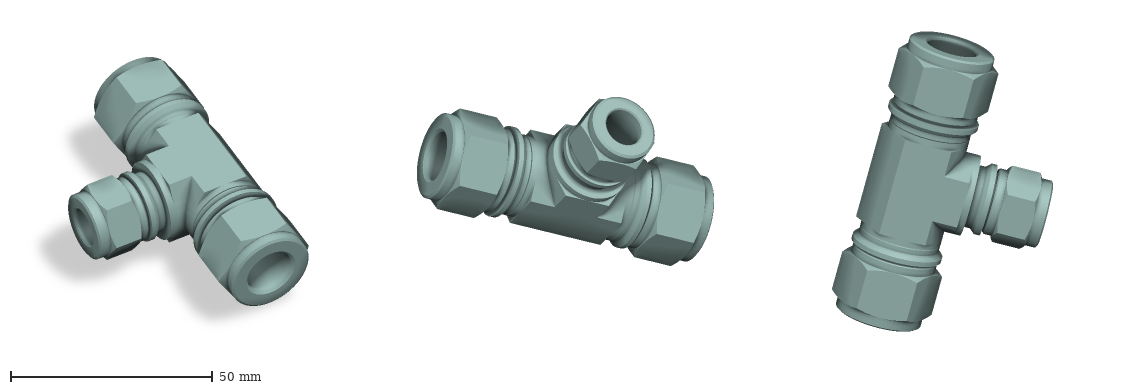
import cadquery as cq
import math


body_flats = 20.6
run_prism_end = 12.5
branch_prism_end = 12.35
disc_end = 14.15

run_nut_flats = 22.25
branch_nut_flats = 17.7
hex_chamfer_angle = 30

overall_length = 72.2
overall_width = 46.2
run_end = overall_length / 2
branch_end = overall_width - run_nut_flats / 2 / math.cos(math.pi / 6)

rim_bevel_radial = 0.65
rim_bevel_axial = 0.4
seat_bevel = 0.3

run_bore_diameter = 12.5
run_bore_depth = 21.65
run_mouth_bevel = 0.65
branch_bore_diameter = 9.75
branch_bore_depth = 14.45
branch_mouth_bevel = 0.35
branch_pilot_diameter = 7.15
branch_pilot_depth = 21.65


def hexagon(flats, length):
    """Hexagonal bar along +Z with corners on the X axis."""
    return cq.Workplane("XY").polygon(6, flats / math.cos(math.pi / 6)).extrude(length)


def body_prism(length, keep_back_corner):
    """Hexagonal bar whose -X corner, and +X corner unless kept, give way to the round body."""
    tangent_x = body_flats / 2 * math.cos(math.pi / 6)
    right = body_flats if keep_back_corner else tangent_x
    slab = cq.Workplane("XY").box(
        tangent_x + right, 2 * body_flats, length, centered=(False, True, False)
    ).translate((-tangent_x, 0, 0))
    return hexagon(body_flats, length).intersect(slab)


def turned(points):
    """Solid of revolution about Z from (radius, height) points, closed along the axis."""
    outline = [(0, points[0][1])] + points + [(0, points[-1][1])]
    return cq.Workplane("XZ").polyline(outline).close().revolve(360, (0, 0, 0), (0, 1, 0))


def nut_hex(flats, start, end):
    """Hex nut whose corners are turned off conically at both ends."""
    flat_radius = flats / 2
    corner_radius = flat_radius / math.cos(math.pi / 6)
    drop = (corner_radius - flat_radius) * math.tan(math.radians(hex_chamfer_angle))
    envelope = turned([
        (flat_radius, start),
        (corner_radius, start + drop),
        (corner_radius, end - drop),
        (flat_radius, end),
    ])
    return hexagon(flats, end).intersect(envelope)


def tube_end(barrel_d, flange_d, neck_d, collar_d, rim_d, collar_bevel, nut_flats,
             cone_start, flange_start, flange_end, collar_start, nut_start, nut_end, end):
    """Body disc, barrel, coned flange, neck, nut collar, nut and nut rim along +Z."""
    barrel_r = barrel_d / 2
    flange_r = flange_d / 2
    neck_r = neck_d / 2
    collar_r = collar_d / 2
    rim_r = rim_d / 2
    core = turned([
        (body_flats / 2, 0),
        (body_flats / 2, disc_end),
        (barrel_r - seat_bevel, disc_end),
        (barrel_r, disc_end + seat_bevel),
        (barrel_r, cone_start),
        (flange_r, flange_start),
        (flange_r, flange_end),
        (neck_r, flange_end),
        (neck_r, collar_start),
        (collar_r - collar_bevel, collar_start),
        (collar_r, collar_start + collar_bevel),
        (collar_r, nut_start),
        (rim_r, nut_start),
        (rim_r, end - rim_bevel_axial),
        (rim_r - rim_bevel_radial, end),
    ])
    return core.union(nut_hex(nut_flats, nut_start, nut_end))


def bore(diameter, depth, end, bevel):
    """Cutter for a blind bore with a bevelled mouth at height end."""
    radius = diameter / 2
    return turned([
        (radius, end - depth),
        (radius, end - bevel),
        (radius + bevel, end),
    ])


run_fitting = tube_end(
    barrel_d=20.5, flange_d=23.0, neck_d=18.9, collar_d=21.5, rim_d=21.8, collar_bevel=0.2,
    nut_flats=run_nut_flats, cone_start=15.8, flange_start=17.05, flange_end=18.3,
    collar_start=19.05, nut_start=21.15, nut_end=33.3, end=run_end,
)
run_fitting = run_fitting.union(body_prism(run_prism_end, keep_back_corner=True))
run_cutter = bore(run_bore_diameter, run_bore_depth, run_end, run_mouth_bevel)

branch_fitting = tube_end(
    barrel_d=15.8, flange_d=18.1, neck_d=14.3, collar_d=16.8, rim_d=17.2, collar_bevel=0.35,
    nut_flats=branch_nut_flats, cone_start=16.1, flange_start=17.4, flange_end=18.8,
    collar_start=19.35, nut_start=21.65, nut_end=30.25, end=branch_end,
)
branch_fitting = branch_fitting.union(body_prism(branch_prism_end, keep_back_corner=False))
branch_cutter = bore(branch_bore_diameter, branch_bore_depth, branch_end, branch_mouth_bevel)
branch_pilot = (
    cq.Workplane("XY")
    .workplane(offset=branch_end - branch_pilot_depth)
    .circle(branch_pilot_diameter / 2)
    .extrude(branch_pilot_depth)
)
branch_cutter = branch_cutter.union(branch_pilot)


def along_x(shape, side):
    """Turn a +Z shape toward +X (side 1) or -X (side -1), local +X becoming +Y."""
    upright = shape.rotate((0, 0, 0), (0, 0, 1), 90)
    return upright.rotate((0, 0, 0), (0, 1, 0), 90 * side)


def along_minus_y(shape):
    """Turn a +Z shape toward -Y, leaving X as it is."""
    return shape.rotate((0, 0, 0), (1, 0, 0), 90)


tee = along_minus_y(branch_fitting)
for side in (-1, 1):
    tee = tee.union(along_x(run_fitting, side))
for side in (-1, 1):
    tee = tee.cut(along_x(run_cutter, side))
result = tee.cut(along_minus_y(branch_cutter))